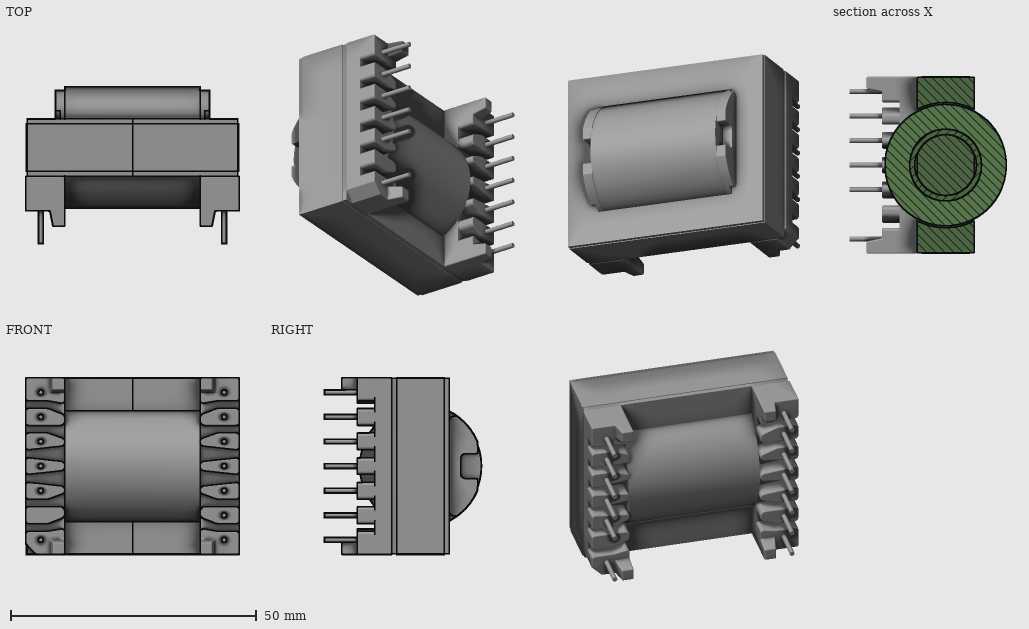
import cadquery as cq

OVERALL_DEPTH = 31.97

PICK_MARGIN = 0.05
PICK_REACH = 50.0

CORE_HALF_LENGTH = 21.44
CORE_HEIGHT = 35.74
CORE_DEPTH = 11.68
CORE_WINDOW_RADIUS = 12.7
CENTER_LEG_RADIUS = 6.25
CORE_BACK_Y = CORE_DEPTH / 2
CORE_FRONT_Y = -CORE_DEPTH / 2

TAPE_THICKNESS = 0.14
TAPE_WIDTH = 9.67

WINDING_RADIUS = 12.4
WINDING_HALF_LENGTH = 13.75

TUBE_OUTER_RADIUS = 7.25
FLANGE_RADIUS = 12.6
FLANGE_THICKNESS = 0.96
FLANGE_OUTER_X = WINDING_HALF_LENGTH + FLANGE_THICKNESS
FLANGE_FLAT_DROP = 0.81
FLANGE_TOP_Y = WINDING_RADIUS - FLANGE_FLAT_DROP
LIP_THICKNESS = 1.0
LIP_HALF_HEIGHT = 10.15
LIP_CORNER_RADIUS = 1.0
LEAD_SLOT_WIDTH = 5.07
LEAD_SLOT_BOTTOM_Y = 8.16
LEAD_SLOT_BOTTOM_RADIUS = 1.0
LEAD_SLOT_MOUTH_RADIUS = 0.3

RAIL_INNER_X = WINDING_HALF_LENGTH
RAIL_OUTER_X = 21.75
RAIL_HALF_HEIGHT = CORE_HEIGHT / 2 + TAPE_THICKNESS
RAIL_BASE_Y = -9.38
RAIL_TOP_Y = -12.92
EDGE_RADIUS = 0.28
KEY_CHAMFER = 2.15

PIN_PITCH = 5.0
FINGER_HALF_WIDTH = 1.75
FINGER_ROOT_DEPTH = 0.5
FINGER_OUTER_RADIUS = 0.65
FINGER_BEND_X = 17.2
FINGER_BEND_RADIUS = 2.5
END_FINGER_TIP_Z = 12.65
END_FINGER_TIP_RADIUS = 0.65
SECOND_FINGER_TIP_Z = 10.4
SECOND_FINGER_TIP_RADIUS = 1.0
THIRD_FINGER_TIP_TOP_Z = 5.5
FINGER_SIDE_TAPER = 0.87
TAPERED_FINGER_TIP_RADIUS = 0.82

FOOT_TIP_Y = -16.05
FOOT_ROOT_X = 16.82
FOOT_ROOT_Z = 14.9
FOOT_DRAFT = 0.63

PIN_DIAMETER = 1.0
PIN_X = 18.65
PIN_TIP_Y = WINDING_RADIUS - OVERALL_DEPTH
PIN_ROWS = range(-3, 4)
EMPTY_PIN = (-1, -2)


def box(x0, x1, y0, y1, z0, z1):
    """Block between two opposite corners."""
    return cq.Workplane("XY").box(x1 - x0, y1 - y0, z1 - z0, centered=False).translate((x0, y0, z0))


def x_cylinder(radius, x0, x1):
    """Cylinder about the X axis."""
    return cq.Workplane("YZ").workplane(offset=x0).circle(radius).extrude(x1 - x0)


def y_prism(points, y_start, y_end):
    """Prism along Y with its outline given as (x, z) points."""
    return cq.Workplane("XZ", origin=(0, y_start, 0)).polyline(points).close().extrude(y_start - y_end)


def round_upright_edge(solid, x, z, radius):
    """Fillet the edge that runs along Y at (x, z)."""
    picker = cq.selectors.BoxSelector(
        (x - PICK_MARGIN, -PICK_REACH, z - PICK_MARGIN),
        (x + PICK_MARGIN, PICK_REACH, z + PICK_MARGIN),
    )
    return solid.edges(picker).fillet(radius)


def make_core_half(side):
    """E-shaped half: end wall, outer legs with a concave inner face and a round center leg."""
    x_end = side * CORE_HALF_LENGTH
    x_window = side * FLANGE_OUTER_X
    block = box(
        min(0, x_end), max(0, x_end), CORE_FRONT_Y, CORE_BACK_Y, -CORE_HEIGHT / 2, CORE_HEIGHT / 2
    )
    window = x_cylinder(CORE_WINDOW_RADIUS, 0, x_window)
    return block.cut(window).union(x_cylinder(CENTER_LEG_RADIUS, 0, x_window).intersect(block))


def make_tape():
    """One closed turn around the outside of both core halves."""
    x_core = CORE_HALF_LENGTH
    z_core = CORE_HEIGHT / 2
    x_tape = x_core + TAPE_THICKNESS
    z_tape = z_core + TAPE_THICKNESS
    y_tape = TAPE_WIDTH / 2
    wrap = box(-x_tape, x_tape, -y_tape, y_tape, -z_tape, z_tape)
    return wrap.cut(box(-x_core, x_core, -y_tape, y_tape, -z_core, z_core))


def make_winding():
    coil = x_cylinder(WINDING_RADIUS, -WINDING_HALF_LENGTH, WINDING_HALF_LENGTH)
    return coil.cut(x_cylinder(TUBE_OUTER_RADIUS, -WINDING_HALF_LENGTH, WINDING_HALF_LENGTH))


def make_flange():
    """Disc at the +X end with a lip that hooks over the back of the core."""
    disc = x_cylinder(FLANGE_RADIUS, WINDING_HALF_LENGTH, FLANGE_OUTER_X)
    lip_end_x = FLANGE_OUTER_X + LIP_THICKNESS
    lip_block = box(
        FLANGE_OUTER_X, lip_end_x, CORE_BACK_Y, FLANGE_RADIUS, -LIP_HALF_HEIGHT, LIP_HALF_HEIGHT
    )
    lip_block = lip_block.edges("|X and <Y").fillet(LIP_CORNER_RADIUS)
    lip = x_cylinder(FLANGE_RADIUS, FLANGE_OUTER_X, lip_end_x).intersect(lip_block)
    height_limit = box(0, lip_end_x, RAIL_BASE_Y, FLANGE_TOP_Y, -FLANGE_RADIUS, FLANGE_RADIUS)
    flange = disc.union(lip).intersect(height_limit)
    slot = box(
        0, lip_end_x, LEAD_SLOT_BOTTOM_Y, FLANGE_RADIUS, -LEAD_SLOT_WIDTH / 2, LEAD_SLOT_WIDTH / 2
    )
    flange = flange.cut(slot.edges("|X and <Y").fillet(LEAD_SLOT_BOTTOM_RADIUS))
    mouth_z = LEAD_SLOT_WIDTH / 2 + PICK_MARGIN
    mouth = cq.selectors.BoxSelector(
        (0, FLANGE_TOP_Y - PICK_MARGIN, -mouth_z),
        (lip_end_x, FLANGE_TOP_Y + PICK_MARGIN, mouth_z),
    )
    return flange.edges("|X").edges(mouth).fillet(LEAD_SLOT_MOUTH_RADIUS)


def make_finger_post(points, corner_radii):
    """Sharp-topped finger from its (x, z) outline; corner_radii pairs an outline corner with its fillet."""
    post = y_prism(points, RAIL_BASE_Y + FINGER_ROOT_DEPTH, RAIL_TOP_Y)
    for index, radius in corner_radii:
        x, z = points[index]
        post = round_upright_edge(post, x, z, radius)
    return post


def make_finger(points, corner_radii):
    """Finger with a rounded top edge."""
    return make_finger_post(points, corner_radii).faces("<Y").edges().fillet(EDGE_RADIUS)


def foot_outline(inset):
    """Foot cross section, drawn in by the draft on its two free sides."""
    return [
        (RAIL_INNER_X, RAIL_HALF_HEIGHT),
        (FOOT_ROOT_X - inset, RAIL_HALF_HEIGHT),
        (FOOT_ROOT_X - inset, FOOT_ROOT_Z + inset),
        (RAIL_INNER_X, FOOT_ROOT_Z + inset),
    ]


def make_foot():
    """Drafted standoff at the inner corner of the rail's +Z end."""
    return (
        cq.Workplane("XZ", origin=(0, RAIL_TOP_Y, 0))
        .polyline(foot_outline(0))
        .close()
        .workplane(offset=RAIL_TOP_Y - FOOT_TIP_Y)
        .polyline(foot_outline(FOOT_DRAFT))
        .close()
        .loft(ruled=True)
    )


def make_end_finger():
    """Finger that closes the +Z end of the rail and carries the foot."""
    side_z = 3 * PIN_PITCH - FINGER_HALF_WIDTH
    points = [
        (RAIL_OUTER_X, RAIL_HALF_HEIGHT),
        (RAIL_OUTER_X, side_z),
        (FINGER_BEND_X, side_z),
        (RAIL_INNER_X, END_FINGER_TIP_Z),
        (RAIL_INNER_X, RAIL_HALF_HEIGHT),
    ]
    radii = [
        (0, EDGE_RADIUS),
        (1, FINGER_OUTER_RADIUS),
        (2, FINGER_BEND_RADIUS),
        (3, END_FINGER_TIP_RADIUS),
    ]
    finger = make_finger_post(points, radii).union(make_foot())
    finger = round_upright_edge(finger, RAIL_INNER_X, RAIL_HALF_HEIGHT, EDGE_RADIUS)
    top_and_foot = cq.selectors.BoxSelector(
        (0, -PICK_REACH, 0), (PICK_REACH, RAIL_TOP_Y + PICK_MARGIN, PICK_REACH)
    )
    return finger.edges(top_and_foot).fillet(EDGE_RADIUS)


def make_second_finger():
    """Finger two pitches from the middle, narrowed from its outer side toward the winding."""
    top_z = 2 * PIN_PITCH + FINGER_HALF_WIDTH
    bottom_z = 2 * PIN_PITCH - FINGER_HALF_WIDTH
    points = [
        (RAIL_OUTER_X, top_z),
        (RAIL_OUTER_X, bottom_z),
        (RAIL_INNER_X, bottom_z),
        (RAIL_INNER_X, SECOND_FINGER_TIP_Z),
        (FINGER_BEND_X, top_z),
    ]
    radii = [
        (0, FINGER_OUTER_RADIUS),
        (1, FINGER_OUTER_RADIUS),
        (2, SECOND_FINGER_TIP_RADIUS),
        (3, SECOND_FINGER_TIP_RADIUS),
        (4, FINGER_BEND_RADIUS),
    ]
    return make_finger(points, radii)


def make_third_finger():
    """Finger one pitch from the middle, narrowed on both sides."""
    top_z = PIN_PITCH + FINGER_HALF_WIDTH
    bottom_z = PIN_PITCH - FINGER_HALF_WIDTH
    points = [
        (RAIL_OUTER_X, top_z),
        (RAIL_OUTER_X, bottom_z),
        (RAIL_INNER_X, bottom_z + FINGER_SIDE_TAPER),
        (RAIL_INNER_X, THIRD_FINGER_TIP_TOP_Z),
        (FINGER_BEND_X, top_z),
    ]
    radii = [
        (0, FINGER_OUTER_RADIUS),
        (1, FINGER_OUTER_RADIUS),
        (2, TAPERED_FINGER_TIP_RADIUS),
        (3, TAPERED_FINGER_TIP_RADIUS),
        (4, FINGER_BEND_RADIUS),
    ]
    return make_finger(points, radii)


def make_middle_finger():
    """Symmetrical tapered finger at Z = 0."""
    tip_z = FINGER_HALF_WIDTH - FINGER_SIDE_TAPER
    points = [
        (RAIL_OUTER_X, FINGER_HALF_WIDTH),
        (RAIL_OUTER_X, -FINGER_HALF_WIDTH),
        (RAIL_INNER_X, -tip_z),
        (RAIL_INNER_X, tip_z),
    ]
    radii = [
        (0, FINGER_OUTER_RADIUS),
        (1, FINGER_OUTER_RADIUS),
        (2, TAPERED_FINGER_TIP_RADIUS),
        (3, TAPERED_FINGER_TIP_RADIUS),
    ]
    return make_finger(points, radii)


def make_rail():
    """Pin rail at the +X end: a base plate with seven fingers and two feet."""
    base = box(
        RAIL_INNER_X, RAIL_OUTER_X, RAIL_BASE_Y, CORE_FRONT_Y, -RAIL_HALF_HEIGHT, RAIL_HALF_HEIGHT
    )
    base = base.edges("|Y").fillet(EDGE_RADIUS)
    base = base.faces(">Y").edges().fillet(EDGE_RADIUS)
    rail = base.union(make_middle_finger())
    for part in (make_end_finger(), make_second_finger(), make_third_finger()):
        rail = rail.union(part).union(part.mirror("XY"))
    return rail


def make_key_cutter():
    """Corner wedge that marks the first pin on the -X rail."""
    x = -RAIL_OUTER_X
    z = -RAIL_HALF_HEIGHT
    return y_prism([(x, z), (x + KEY_CHAMFER, z), (x, z + KEY_CHAMFER)], CORE_FRONT_Y, FOOT_TIP_Y)


def make_bobbin():
    """Tube with a flange and a pin rail at each end, and its moulded-in pins."""
    tube = x_cylinder(TUBE_OUTER_RADIUS, -FLANGE_OUTER_X, FLANGE_OUTER_X)
    end = make_flange().union(make_rail())
    bobbin = tube.union(end).union(end.mirror("YZ"))
    bobbin = bobbin.cut(x_cylinder(CENTER_LEG_RADIUS, -FLANGE_OUTER_X, FLANGE_OUTER_X))
    bobbin = bobbin.cut(make_key_cutter())
    key_face = cq.selectors.DirectionMinMaxSelector(cq.Vector(-1, 0, -1), True)
    bobbin = bobbin.faces(key_face).edges().fillet(EDGE_RADIUS)
    for side in (-1, 1):
        for row in PIN_ROWS:
            if (side, row) == EMPTY_PIN:
                continue
            pin = cq.Workplane("XZ", origin=(side * PIN_X, RAIL_BASE_Y, row * PIN_PITCH))
            bobbin = bobbin.union(pin.circle(PIN_DIAMETER / 2).extrude(RAIL_BASE_Y - PIN_TIP_Y))
    return bobbin


core_halves = [make_core_half(side) for side in (-1, 1)]
tape = make_tape()
winding = make_winding()
bobbin = make_bobbin()

core_solids = [half.val() for half in core_halves]
result = cq.Compound.makeCompound([*core_solids, tape.val(), winding.val(), bobbin.val()])